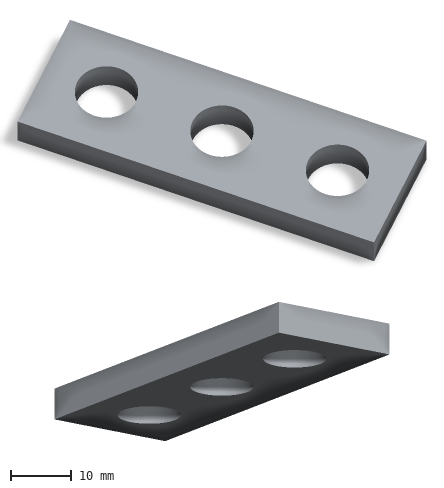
import cadquery as cq

length = 63.5
width = 22.35
thickness = 5.3

hole_diameter = 10.4
hole_spacing = 20.6
hole_count = 3

bar = cq.Workplane("XY").box(length, width, thickness)

result = (
    bar.faces(">Z")
    .workplane()
    .rarray(hole_spacing, width, hole_count, 1)
    .hole(hole_diameter)
)